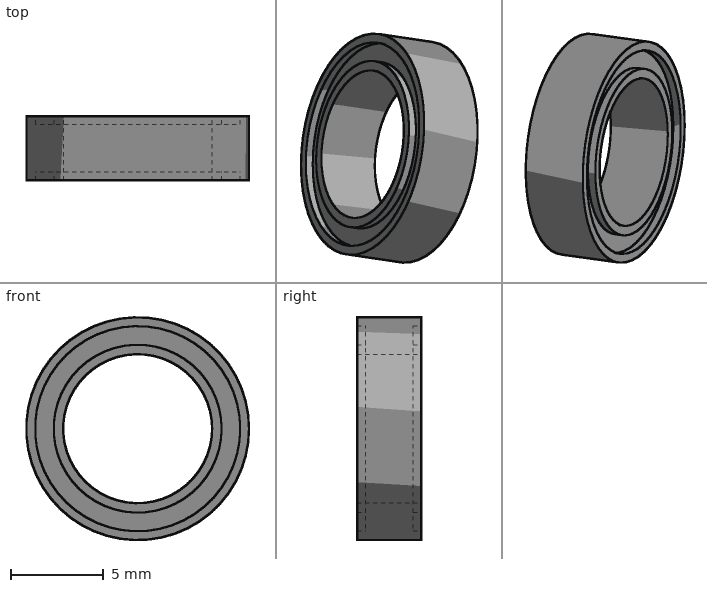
import cadquery as cq

outer_diameter = 12.0
bore_diameter = 8.0
width = 3.45

recess_outer_diameter = 11.04
recess_inner_diameter = 9.04
recess_depth = 0.45


def ring(outside, inside, length, start_y):
    """Ring about the Y axis, extending from start_y towards +Y."""
    plane = cq.Workplane("XZ", origin=(0, start_y, 0))
    return plane.circle(outside / 2).circle(inside / 2).extrude(-length)


result = ring(outer_diameter, bore_diameter, width, -width / 2)

for recess_start in (-width / 2, width / 2 - recess_depth):
    recess = ring(recess_outer_diameter, recess_inner_diameter, recess_depth, recess_start)
    result = result.cut(recess)